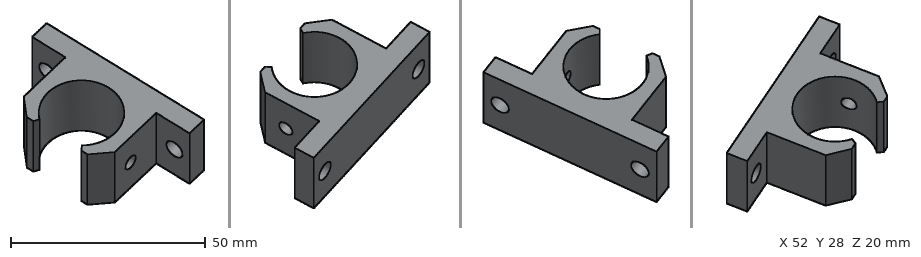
import cadquery as cq
import math

length = 52.0
depth = 28.0
height = 20.0
plate_thickness = 6.0

clip_width = 30.0
corner_chamfer = 5.0
bore_diameter = 22.0
bore_from_back = 18.0

mouth_inner_width = 14.0
mouth_outer_width = 15.8

mount_hole_diameter = 5.3
mount_hole_pitch = 42.0
side_hole_diameter = 4.15
side_hole_from_back = 16.5

back_y = bore_from_back
front_y = back_y - depth
bore_radius = bore_diameter / 2


def make_plate():
    return cq.Workplane("XY").box(length, plate_thickness, height).translate(
        (0, back_y - plate_thickness / 2, 0)
    )


def make_clip_block():
    block = cq.Workplane("XY").box(clip_width, depth, height)
    block = block.edges("|Z and <Y").chamfer(corner_chamfer)
    return block.translate((0, back_y - depth / 2, 0))


def make_mouth():
    inner = mouth_inner_width / 2
    outer = mouth_outer_width / 2
    inner_y = -math.sqrt(bore_radius**2 - inner**2)
    return (
        cq.Workplane("XY")
        .polyline([(-inner, 0), (-inner, inner_y), (-outer, front_y),
                   (outer, front_y), (inner, inner_y), (inner, 0)])
        .close()
        .extrude(height / 2, both=True)
    )


def make_mount_holes():
    return (
        cq.Workplane("XZ", origin=(0, back_y, 0))
        .pushPoints([(-mount_hole_pitch / 2, 0), (mount_hole_pitch / 2, 0)])
        .circle(mount_hole_diameter / 2)
        .extrude(plate_thickness)
    )


def make_side_hole():
    center_y = back_y - side_hole_from_back
    return (
        cq.Workplane("YZ", origin=(0, center_y, 0))
        .circle(side_hole_diameter / 2)
        .extrude(clip_width / 2)
    )


bore = cq.Workplane("XY").circle(bore_radius).extrude(height / 2, both=True)

result = (
    make_plate()
    .union(make_clip_block())
    .cut(bore)
    .cut(make_mouth())
    .cut(make_mount_holes())
    .cut(make_side_hole())
)